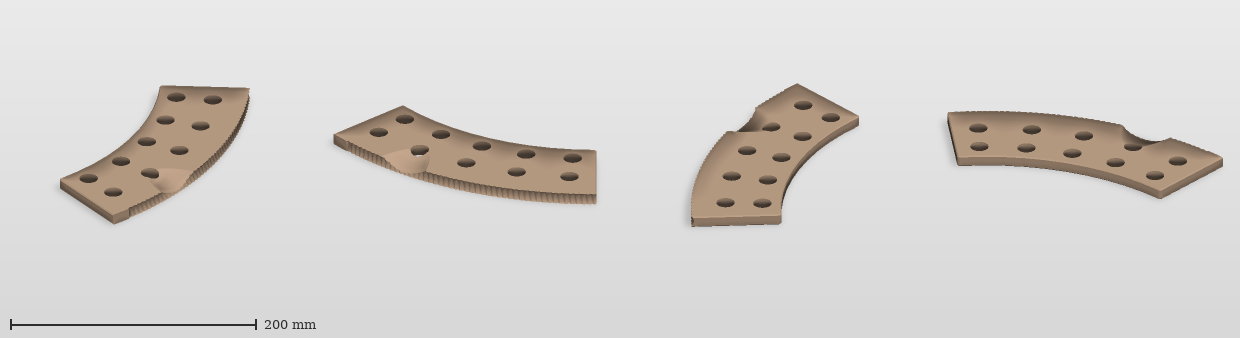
import cadquery as cq
import math

OUTER_RADIUS = 278.75
INNER_RADIUS = 204.65
SECTOR_ANGLE = 50.0
THICKNESS = 9.49
MID_HEIGHT = THICKNESS / 2
END_OVERHANG = 0.4
CORNER_FILLET = 2.5
EDGE_CHAMFER = 0.9

HOLE_DIAMETER = 15.0
HOLE_ROW_RADII = (220.0, 250.0)
HOLE_ANGLES = (5.0, 15.0, 25.0, 35.0, 45.0)

TEETH_PER_TURN = 372
TOOTH_PITCH_ANGLE = 360.0 / TEETH_PER_TURN
TOOTH_PITCH = math.radians(TOOTH_PITCH_ANGLE) * OUTER_RADIUS
HOB_RADIUS = 8.0
TOOTH_DEPTH = 0.7
THROAT_RADIUS = HOB_RADIUS - TOOTH_DEPTH
ROOT_RADIUS = 275.7
HOB_CENTER_RADIUS = ROOT_RADIUS + HOB_RADIUS
GAP_HALF_WIDTH = 0.35 * TOOTH_PITCH
GAP_LEAN_ANGLE = math.degrees(math.atan2(TOOTH_PITCH / 2, THICKNESS))
TOOTHING_START_ANGLE = 3.3
FIRST_GAP = 4
LAST_GAP = math.ceil(SECTOR_ANGLE / TOOTH_PITCH_ANGLE)
GAP_PHASE = -0.1

SCOOP_RADIUS = 35.0
SCOOP_ANGLE = 15.5
SCOOP_SLOPE = 16.0
SCOOP_TIP_RADIUS = 249.0
SCOOP_LENGTH = 60.0


def polar(radius, angle):
    """Point at the given radius and angle (degrees) about the Z axis."""
    return (radius * math.cos(math.radians(angle)), radius * math.sin(math.radians(angle)))


def end_corner(radius, end_side):
    """Corner of the sector at its start (-1) or finish (+1), moved out square to the end face."""
    half = SECTOR_ANGLE / 2
    corner_half = half + math.degrees(math.asin(END_OVERHANG / radius))
    return polar(radius, half + end_side * corner_half)


def is_inner_corner(edge):
    """True for the two upright edges where the end faces meet the inner wall."""
    center = edge.Center()
    distance = math.hypot(center.x, center.y)
    return edge.geomType() == "LINE" and distance < (INNER_RADIUS + OUTER_RADIUS) / 2


def is_rim_arc(edge):
    """True for the long arcs of the outer rim."""
    return edge.geomType() == "CIRCLE" and math.isclose(edge.radius(), OUTER_RADIUS)


def make_plate():
    """Ring sector with rounded inner corners, chamfered along its ends and its inner wall."""
    half = SECTOR_ANGLE / 2
    plate = (
        cq.Workplane("XY")
        .moveTo(*end_corner(INNER_RADIUS, -1))
        .lineTo(*end_corner(OUTER_RADIUS, -1))
        .threePointArc(polar(OUTER_RADIUS, half), end_corner(OUTER_RADIUS, 1))
        .lineTo(*end_corner(INNER_RADIUS, 1))
        .threePointArc(polar(INNER_RADIUS, half), end_corner(INNER_RADIUS, -1))
        .close()
        .extrude(THICKNESS)
    )
    plate = plate.edges("|Z").filter(is_inner_corner).fillet(CORNER_FILLET)
    for face_selector in (">Z", "<Z"):
        border = plate.faces(face_selector).edges()
        plate = border.filter(lambda edge: not is_rim_arc(edge)).chamfer(EDGE_CHAMFER)
    return plate


def make_holes():
    """Cylinders for all the bolt holes."""
    points = [polar(radius, angle) for radius in HOLE_ROW_RADII for angle in HOLE_ANGLES]
    return cq.Workplane("XY").pushPoints(points).circle(HOLE_DIAMETER / 2).extrude(THICKNESS)


def make_throat():
    """Hollow of the toothed rim: a ring of round section swept about the Z axis."""
    sweep_angle = SECTOR_ANGLE - TOOTHING_START_ANGLE + TOOTH_PITCH_ANGLE
    section = cq.Workplane("XZ").center(HOB_CENTER_RADIUS, MID_HEIGHT).circle(THROAT_RADIUS)
    ring = section.revolve(sweep_angle, (-HOB_CENTER_RADIUS, 0), (-HOB_CENTER_RADIUS, 1))
    return ring.rotate((0, 0, 0), (0, 0, 1), TOOTHING_START_ANGLE)


def make_gap_cutter():
    """V-edged disc at angle zero, tilted to the lean of the gaps."""
    profile = [
        (0, HOB_RADIUS),
        (GAP_HALF_WIDTH, THROAT_RADIUS),
        (GAP_HALF_WIDTH, 0),
        (-GAP_HALF_WIDTH, 0),
        (-GAP_HALF_WIDTH, THROAT_RADIUS),
    ]
    disc = cq.Workplane("YZ").polyline(profile).close().revolve(360, (0, 0), (1, 0))
    tilted = disc.rotate((0, 0, 0), (1, 0, 0), GAP_LEAN_ANGLE)
    return tilted.translate((HOB_CENTER_RADIUS, 0, MID_HEIGHT))


def cut_toothing(plate):
    """Cut the throat, then the tooth gaps one pitch apart."""
    plate = plate.cut(make_throat())
    cutter = make_gap_cutter()
    for gap in range(FIRST_GAP, LAST_GAP + 1):
        angle = (gap + GAP_PHASE) * TOOTH_PITCH_ANGLE
        plate = plate.cut(cutter.rotate((0, 0, 0), (0, 0, 1), angle))
    return plate


def make_scoop():
    """Cylinder whose lowest line starts at the top face and sinks towards the rim."""
    cylinder = (
        cq.Workplane("YZ")
        .center(0, SCOOP_RADIUS)
        .circle(SCOOP_RADIUS)
        .extrude(SCOOP_LENGTH, both=True)
    )
    sloped = cylinder.rotate((0, 0, 0), (0, 1, 0), SCOOP_SLOPE)
    placed = sloped.translate((SCOOP_TIP_RADIUS, 0, THICKNESS))
    return placed.rotate((0, 0, 0), (0, 0, 1), SCOOP_ANGLE)


result = cut_toothing(make_plate()).cut(make_holes()).cut(make_scoop())